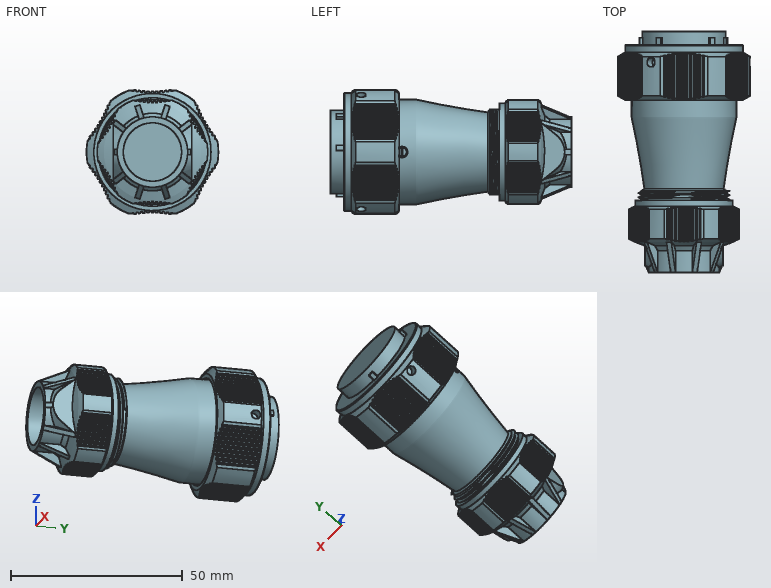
import cadquery as cq
import math


FLANGE_START = 3.85
NUT_START = 6.05
NUT_END = 20.0
BODY_CYLINDER_END = 24.9
TAPER_START = 25.35
TAPER_END = 45.85
THREAD_START = 46.4
GLAND_START = 49.2
GLAND_NUT_START = 50.8
GLAND_NUT_END = 61.35
CABLE_END = 70.2

SPIGOT_RADIUS = 12.2
FLANGE_RADIUS = 17.2
FLANGE_CHAMFER = 0.3
KEY_ANGLES = (15.5, 50.4, 124.5, 174.6, 270)
KEY_START = 1.75
KEY_RADIUS = 13.05
KEY_WIDTH = 1.55

BODY_RADIUS = 15.3
TAPER_START_RADIUS = 15.2
TAPER_MID_RADIUS = 13.2
TAPER_END_RADIUS = 11.6
MARK_STATION = 20.85
MARK_RADIUS = 1.6
MARK_LINE = 0.3
MARK_SLOT_WIDTH = 0.5
MARK_DEPTH = 0.2

THREAD_ROOT_RADIUS = 12.4
THREAD_CREST_RADIUS = 13.3
THREAD_PITCH = 1.25
THREAD_HALF_BASE = 0.55
THREAD_FLAT_HEIGHT = 12.4
THREAD_OVERLAP = 0.2

SIDES = 6
SIDE_ANGLE = 360 / SIDES
FACET_HALF_ANGLE = 9
GROOVE_DEPTH = 0.4
TOOTH_PEAK_RISE = 0.12
GROOVE_MOUTH_SHARE = 0.6
GROOVE_FLOOR_SHARE = 0.3
COUPLING_NUT_RADIUS = 19.2
COUPLING_NUT_END_RADIUS = 17.05
COUPLING_NUT_CHAMFER = 1.25
COUPLING_NUT_MID_HEIGHT = 17.7
COUPLING_NUT_GROOVES = 10
COUPLING_NUT_GROOVE_PITCH = 1.25
COUPLING_NUT_BORE_RADIUS = 15.8
COUPLING_NUT_BORE_DEPTH = 2.1
GLAND_NUT_RADIUS = 16.1
GLAND_NUT_END_RADIUS = 14.2
GLAND_NUT_CHAMFER = 1.0
GLAND_NUT_MID_HEIGHT = 14.8
GLAND_NUT_GROOVES = 9
GLAND_NUT_GROOVE_PITCH = 1.2
HOLE_STATION = 9.0
HOLE_DIAMETER = 2.7
HOLE_DEPTH = 3.15
HOLE_ANGLES = (0, 120, 240)

CLAMP_FLANGE_RADIUS = 14.25
SHOULDER_END = 62.4
SHOULDER_END_RADIUS = 11.3
TUBE_START = 63.9
TUBE_RADIUS = 10.25
BORE_RADIUS = 8.5
BORE_DEPTH = 6.0
BORE_FLARE_RADIUS = 9.05
BORE_FLARE_LENGTH = 1.05
PAD_RIB_ANGLE = 38
RIB_ANGLES = (0, PAD_RIB_ANGLE, 72, 108, 180 - PAD_RIB_ANGLE)
RIB_WIDTH = 1.5
FLAT_DISTANCE = 11.4
PAD_HALF_WIDTH = 8.55
PAD_LENGTH = 6.8
PAD_TIP_RADIUS = 6.3
PAD_SIDE_ANGLE = 39.3
PAD_DRAFT = 25
PAD_THICKNESS = 4.2


def section_at(station):
    """Workplane across the axis, extruding toward the cable end."""
    return cq.Workplane("XZ", origin=(0, -station, 0))


def disc(radius, start, end):
    return section_at(start).circle(radius).extrude(end - start)


def revolved(profile):
    """Turn a closed profile of (radius, Y) points about the axis."""
    return profile.close().revolve(360, (0, 0, 0), (0, 1, 0))


def turned_about_axis(solid, angle):
    """Turn from +X toward +Z by the angle."""
    return solid.rotate((0, 0, 0), (0, 1, 0), -angle)


def side_points(radius, mid_height, groove_count, pitch):
    """Points (across, height) of one knurled side, from right to left, between two corner facets.

    The teeth stand on a shallow parabolic hollow, lowest in the middle. Outside the last groove
    on either hand a plain strip runs level to the corner facet.
    """
    half_side = math.radians(SIDE_ANGLE / 2 - FACET_HALF_ANGLE)
    edge_across = radius * math.sin(half_side)
    edge_height = radius * math.cos(half_side)
    last_tooth = (groove_count - 2) / 2 * pitch
    last_groove = (groove_count - 1) / 2 * pitch
    half_mouth = pitch * GROOVE_MOUTH_SHARE / 2
    half_floor = pitch * GROOVE_FLOOR_SHARE / 2
    last_tooth_rise = edge_height - mid_height + TOOTH_PEAK_RISE

    def tooth_height(across):
        return mid_height + last_tooth_rise * (across / last_tooth) ** 2

    strip_end = last_groove + half_floor
    points = [(edge_across, edge_height), (strip_end, edge_height)]
    for i in range(groove_count):
        center = last_groove - i * pitch
        floor_height = tooth_height(center) - GROOVE_DEPTH
        if i > 0:
            points.append((center + half_mouth, tooth_height(center + half_mouth)))
        points.append((center + half_floor, floor_height))
        points.append((center - half_floor, floor_height))
        if i < groove_count - 1:
            points.append((center - half_mouth, tooth_height(center - half_mouth)))
    return points + [(-strip_end, edge_height), (-edge_across, edge_height)]


def turned_point(point, degrees):
    angle = math.radians(degrees)
    x, z = point
    return (x * math.cos(angle) - z * math.sin(angle), x * math.sin(angle) + z * math.cos(angle))


def knurled_nut(radius, end_radius, chamfer, start, end, mid_height, groove_count, pitch):
    side = side_points(radius, mid_height, groove_count, pitch)
    outline = section_at(start).moveTo(*side[0])
    for i in range(SIDES):
        turn = SIDE_ANGLE * i
        for point in side[1:]:
            outline = outline.lineTo(*turned_point(point, turn))
        corner = turned_point((0, radius), turn + SIDE_ANGLE / 2)
        next_side_start = turned_point(side[0], turn + SIDE_ANGLE)
        outline = outline.threePointArc(corner, next_side_start)
    prism = outline.close().extrude(end - start)
    envelope = revolved(
        cq.Workplane("XY")
        .moveTo(0, -start)
        .lineTo(end_radius, -start)
        .lineTo(radius, -start - chamfer)
        .lineTo(radius, -end + chamfer)
        .lineTo(end_radius, -end)
        .lineTo(0, -end)
    )
    return prism.intersect(envelope)


def mating_end():
    end = disc(SPIGOT_RADIUS, 0, NUT_START)
    end = end.union(disc(FLANGE_RADIUS, FLANGE_START, NUT_START).faces(">Y").chamfer(FLANGE_CHAMFER))
    for angle in KEY_ANGLES:
        key = section_at(KEY_START).rect(KEY_RADIUS, KEY_WIDTH).extrude(NUT_START - KEY_START)
        end = end.union(turned_about_axis(key.translate((KEY_RADIUS / 2, 0, 0)), angle))
    return end


def coupling_nut():
    nut = knurled_nut(
        COUPLING_NUT_RADIUS,
        COUPLING_NUT_END_RADIUS,
        COUPLING_NUT_CHAMFER,
        NUT_START,
        NUT_END,
        COUPLING_NUT_MID_HEIGHT,
        COUPLING_NUT_GROOVES,
        COUPLING_NUT_GROOVE_PITCH,
    )
    nut = nut.cut(disc(COUPLING_NUT_BORE_RADIUS, NUT_END - COUPLING_NUT_BORE_DEPTH, NUT_END))
    for angle in HOLE_ANGLES:
        hole = (
            cq.Workplane("YZ", origin=(COUPLING_NUT_RADIUS - HOLE_DEPTH, -HOLE_STATION, 0))
            .circle(HOLE_DIAMETER / 2)
            .extrude(2 * HOLE_DEPTH)
        )
        nut = nut.cut(turned_about_axis(hole, angle))
    return nut


def body():
    shell = revolved(
        cq.Workplane("XY")
        .moveTo(0, -NUT_START)
        .lineTo(BODY_RADIUS, -NUT_START)
        .lineTo(BODY_RADIUS, -BODY_CYLINDER_END)
        .lineTo(TAPER_START_RADIUS, -TAPER_START)
        .threePointArc((TAPER_MID_RADIUS, -(TAPER_START + TAPER_END) / 2), (TAPER_END_RADIUS, -TAPER_END))
        .lineTo(THREAD_ROOT_RADIUS, -THREAD_START)
        .lineTo(THREAD_ROOT_RADIUS, -GLAND_NUT_START)
        .lineTo(0, -GLAND_NUT_START)
    )
    mark_plane = cq.Workplane("YZ", origin=(-BODY_RADIUS - MARK_DEPTH, -MARK_STATION, 0))
    ring = mark_plane.circle(MARK_RADIUS).circle(MARK_RADIUS - MARK_LINE).extrude(2 * MARK_DEPTH)
    slot = mark_plane.rect(MARK_SLOT_WIDTH, 2 * MARK_RADIUS - MARK_LINE).extrude(2 * MARK_DEPTH)
    return shell.cut(ring).cut(slot)


def thread():
    """Helical ridge around the body, cut flat on its top and bottom."""
    length = GLAND_START - THREAD_START
    root = THREAD_ROOT_RADIUS - THREAD_OVERLAP
    helix = cq.Wire.makeHelix(THREAD_PITCH, length, root)
    ridge = (
        cq.Workplane("XZ")
        .moveTo(root, -THREAD_HALF_BASE)
        .lineTo(THREAD_CREST_RADIUS, 0)
        .lineTo(root, THREAD_HALF_BASE)
        .close()
        .sweep(cq.Workplane(obj=helix), isFrenet=True)
    )
    ridge = ridge.rotate((0, 0, 0), (1, 0, 0), 90).translate((0, -THREAD_START, 0))
    limits = (
        section_at(THREAD_START)
        .rect(4 * THREAD_CREST_RADIUS, 2 * THREAD_FLAT_HEIGHT)
        .extrude(GLAND_NUT_START - THREAD_START)
    )
    return ridge.intersect(limits)


def gland_nut():
    nut = knurled_nut(
        GLAND_NUT_RADIUS,
        GLAND_NUT_END_RADIUS,
        GLAND_NUT_CHAMFER,
        GLAND_NUT_START,
        GLAND_NUT_END,
        GLAND_NUT_MID_HEIGHT,
        GLAND_NUT_GROOVES,
        GLAND_NUT_GROOVE_PITCH,
    )
    return nut.union(disc(CLAMP_FLANGE_RADIUS, GLAND_START, GLAND_NUT_START))


def clamp_rib():
    return (
        cq.Workplane("XY")
        .moveTo(0, -GLAND_NUT_END)
        .lineTo(GLAND_NUT_END_RADIUS, -GLAND_NUT_END)
        .lineTo(TUBE_RADIUS, -CABLE_END)
        .lineTo(0, -CABLE_END)
        .close()
        .extrude(RIB_WIDTH / 2, both=True)
    )


def clamp_pad():
    """Flat-faced pad between two ribs on the +X side, with a rounded tip and drafted edges."""
    side = math.radians(PAD_SIDE_ANGLE)
    tip_center = -GLAND_NUT_END - PAD_LENGTH + PAD_TIP_RADIUS
    tangent_z = PAD_TIP_RADIUS * math.cos(side)
    tangent_y = tip_center - PAD_TIP_RADIUS * math.sin(side)
    root_y = tangent_y + (PAD_HALF_WIDTH - tangent_z) / math.tan(side)
    pad = (
        cq.Workplane("YZ", origin=(FLAT_DISTANCE, 0, 0))
        .moveTo(root_y, PAD_HALF_WIDTH)
        .lineTo(tangent_y, tangent_z)
        .threePointArc((tip_center - PAD_TIP_RADIUS, 0), (tangent_y, -tangent_z))
        .lineTo(root_y, -PAD_HALF_WIDTH)
        .close()
        .extrude(-PAD_THICKNESS, taper=-PAD_DRAFT)
    )
    rib_angle = math.radians(PAD_RIB_ANGLE)
    sector_tip = RIB_WIDTH / 2 / math.sin(rib_angle)
    sector_half_width = (FLAT_DISTANCE - sector_tip) * math.tan(rib_angle)
    sector = (
        section_at(GLAND_NUT_START)
        .polyline([(sector_tip, 0), (FLAT_DISTANCE, sector_half_width), (FLAT_DISTANCE, -sector_half_width)])
        .close()
        .extrude(CABLE_END - GLAND_NUT_START)
    )
    return pad.intersect(sector)


def cable_bore():
    """Blind bore that flares outward at its floor."""
    flare_start = -CABLE_END + BORE_DEPTH
    return revolved(
        cq.Workplane("XY")
        .moveTo(0, -CABLE_END)
        .lineTo(BORE_RADIUS, -CABLE_END)
        .lineTo(BORE_RADIUS, flare_start)
        .lineTo(BORE_FLARE_RADIUS, flare_start + BORE_FLARE_LENGTH)
        .lineTo(0, flare_start + BORE_FLARE_LENGTH)
    )


def cable_clamp():
    clamp = revolved(
        cq.Workplane("XY")
        .moveTo(0, -GLAND_NUT_END)
        .lineTo(GLAND_NUT_END_RADIUS, -GLAND_NUT_END)
        .lineTo(SHOULDER_END_RADIUS, -SHOULDER_END)
        .lineTo(TUBE_RADIUS, -TUBE_START)
        .lineTo(TUBE_RADIUS, -CABLE_END)
        .lineTo(0, -CABLE_END)
    )
    pad = clamp_pad()
    ribs = pad.union(pad.mirror("YZ"))
    for angle in RIB_ANGLES:
        ribs = ribs.union(turned_about_axis(clamp_rib(), angle))
        ribs = ribs.union(turned_about_axis(clamp_rib(), angle + 180))
    rib_limits = (
        section_at(GLAND_NUT_END).rect(2 * FLAT_DISTANCE, 2 * GLAND_NUT_RADIUS).extrude(CABLE_END - GLAND_NUT_END)
    )
    clamp = clamp.union(ribs.intersect(rib_limits))
    return clamp.cut(cable_bore())


result = mating_end()
for feature in (coupling_nut(), body(), thread(), gland_nut(), cable_clamp()):
    result = result.union(feature)